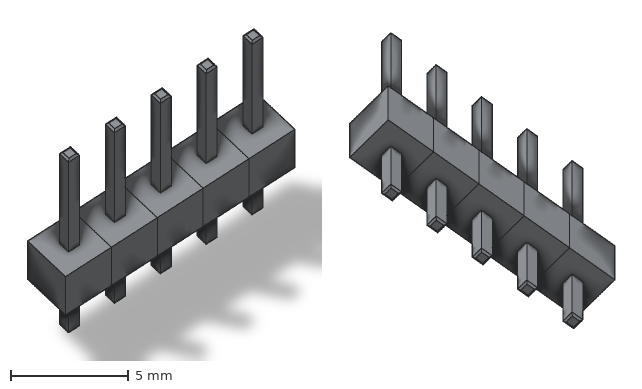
import cadquery as cq

header_length = 12.7
position_count = 5
block_height = 2.6
pin_width = 0.61
pin_above = 6.2
pin_below = 3.0
pin_chamfer = 0.1

pitch = header_length / position_count
block_width = pitch
pin_length = pin_below + block_height + pin_above


def make_block():
    """Plain block, standing on Z = 0 and centred on the Z axis."""
    return cq.Workplane("XY").box(block_width, pitch, block_height, centered=(True, True, False))


def make_pin():
    """Square pin along Z, bevelled at both ends."""
    return (
        cq.Workplane("XY")
        .workplane(offset=-pin_below)
        .rect(pin_width, pin_width)
        .extrude(pin_length)
        .faces("<Z or >Z")
        .edges()
        .chamfer(pin_chamfer)
    )


def make_position(y_center):
    """One header position: a block and its pin as a single solid."""
    return make_block().union(make_pin()).translate((0, y_center, 0))


positions = []
for index in range(position_count):
    y_center = (index - (position_count - 1) / 2) * pitch
    positions.append(make_position(y_center))

result = cq.Compound.makeCompound([position.solids().val() for position in positions])